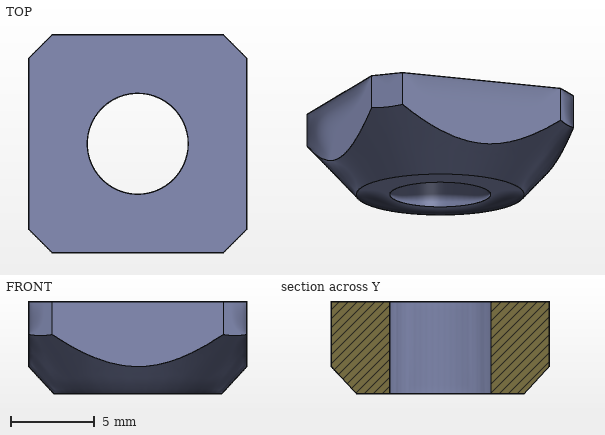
import cadquery as cq

side = 13.0
height = 5.5
corner_chamfer = 1.4
hole_diameter = 6.0

bottom_diameter = 10.01
side_cone_height = 1.62

bottom_radius = bottom_diameter / 2
cone_slope = side_cone_height / (side / 2 - bottom_radius)
cone_top_radius = bottom_radius + height / cone_slope


def make_block():
    block = cq.Workplane("XY").rect(side, side).extrude(height)
    return block.edges("|Z").chamfer(corner_chamfer)


def make_cone():
    """Solid cone about Z, widening upward to beyond the block corners."""
    profile = [(0, 0), (bottom_radius, 0), (cone_top_radius, height), (0, height)]
    return cq.Workplane("XZ").polyline(profile).close().revolve(360, (0, 0), (0, 1))


def make_hole():
    return cq.Workplane("XY").circle(hole_diameter / 2).extrude(height)


result = make_block().intersect(make_cone()).cut(make_hole())